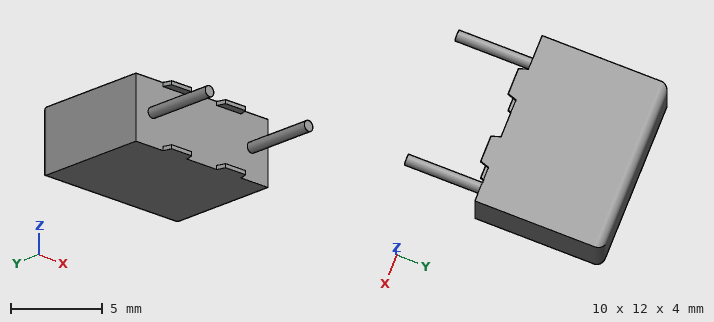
import cadquery as cq

HOUSING_WIDTH = 10.0
HOUSING_LENGTH = 7.5
HOUSING_HEIGHT = 4.0
BACK_ROUNDING = 0.5

TOTAL_LENGTH = 12.0
LEAD_LENGTH = TOTAL_LENGTH - HOUSING_LENGTH
LEAD_DIAMETER = 0.65
LEAD_PITCH = 7.5

FOOT_ROOT_WIDTH = 1.85
FOOT_TIP_WIDTH = 1.51
FOOT_LENGTH = 0.53
FOOT_THICKNESS = 0.24
FOOT_PITCH = 4.08


def make_foot(x, z_bottom):
    """Tapered tab that stands out of the front face toward -Y."""
    return (
        cq.Workplane("XY", origin=(x, 0, z_bottom))
        .polyline([
            (-FOOT_ROOT_WIDTH / 2, 0),
            (-FOOT_TIP_WIDTH / 2, -FOOT_LENGTH),
            (FOOT_TIP_WIDTH / 2, -FOOT_LENGTH),
            (FOOT_ROOT_WIDTH / 2, 0),
        ])
        .close()
        .extrude(FOOT_THICKNESS)
    )


def make_housing():
    """Box with its front face on Y = 0, rounded back edges and four feet."""
    housing = (
        cq.Workplane("XY")
        .box(HOUSING_WIDTH, HOUSING_LENGTH, HOUSING_HEIGHT, centered=(True, False, True))
        .faces(">Y")
        .edges()
        .fillet(BACK_ROUNDING)
    )
    for x in (-FOOT_PITCH / 2, FOOT_PITCH / 2):
        for z_bottom in (-HOUSING_HEIGHT / 2, HOUSING_HEIGHT / 2 - FOOT_THICKNESS):
            housing = housing.union(make_foot(x, z_bottom))
    return housing


def make_lead(x):
    """Round wire that starts on the front face and runs toward -Y."""
    return (
        cq.Workplane("XZ", origin=(x, 0, 0))
        .circle(LEAD_DIAMETER / 2)
        .extrude(LEAD_LENGTH)
    )


housing = make_housing()
leads = [make_lead(x) for x in (-LEAD_PITCH / 2, LEAD_PITCH / 2)]

result = cq.Compound.makeCompound([housing.val(), *[lead.val() for lead in leads]])